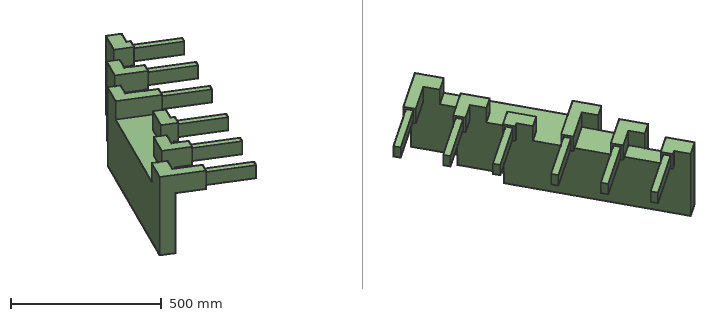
import cadquery as cq

body_length = 977.5
total_height = 297.5

terminal_pitch = 170.0
head_width = 99.0
head_height = 70.0
terminals_per_group = 3

plate_thickness = 55.0
plate_offset = 45.0

arm_width = 42.5
arm_end_y = 160.0

blade_width = 25.0
blade_height = 50.0
blade_length = 175.0
blade_top_gap = 10.0

body_depth = plate_thickness + (terminals_per_group - 1) * plate_offset
base_height = total_height - head_height
blade_bottom_z = total_height - blade_top_gap - blade_height
right_group_x = body_length - (terminals_per_group - 1) * terminal_pitch - head_width


def block(x, y, z, length, depth, height):
    """Box placed by its lowest corner."""
    return cq.Workplane("XY").box(length, depth, height, centered=False).translate((x, y, z))


def left_front_y(index):
    """Front face of a left-hand terminal, counted from the left end."""
    return (terminals_per_group - 1 - index) * plate_offset


def right_back_y(index):
    """Back face of a right-hand head, counted from the left of its group."""
    return body_depth - index * plate_offset


def stepped_base():
    """Low body made of three staggered, overlapping plates."""
    plate_length = right_group_x + head_width
    base = None
    for index in range(terminals_per_group):
        plate = block(
            index * terminal_pitch, left_front_y(index), 0,
            plate_length, plate_thickness, base_height,
        )
        base = plate if base is None else base.union(plate)
    return base


def terminal(head_x, front_y, head_depth):
    """Raised head with an arm along its right edge and a blade on the arm."""
    arm_x = head_x + head_width - arm_width
    blade_x = arm_x + (arm_width - blade_width) / 2
    head = block(head_x, front_y, base_height, head_width, head_depth, head_height)
    arm = block(arm_x, front_y, base_height, arm_width, arm_end_y - front_y, head_height)
    blade = block(blade_x, arm_end_y, blade_bottom_z, blade_width, blade_length, blade_height)
    return head.union(arm).union(blade)


result = stepped_base()

for terminal_index in range(terminals_per_group):
    offset_x = terminal_index * terminal_pitch

    left_depth = plate_thickness if terminal_index == 0 else plate_offset
    result = result.union(terminal(offset_x, left_front_y(terminal_index), left_depth))

    right_depth = plate_thickness if terminal_index == terminals_per_group - 1 else plate_offset
    right_front_y = right_back_y(terminal_index) - right_depth
    result = result.union(terminal(right_group_x + offset_x, right_front_y, right_depth))

result = result.clean()